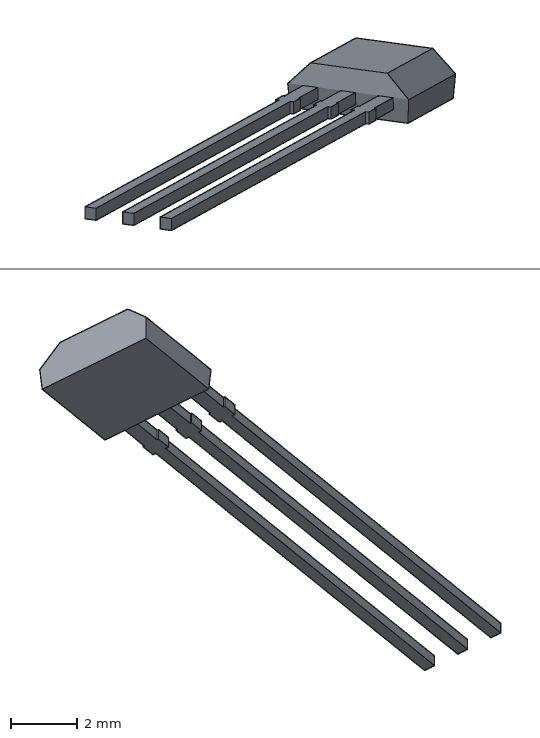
import cadquery as cq

body_width = 4.1
body_length = 3.2
upper_height = 0.73
lower_height = 0.76
draft_inset = 0.05
top_face_width = 2.6

overall_length = 18.2
lead_count = 3
lead_pitch = 1.27
lead_thickness = 0.38
lead_width = 0.38
neck_width = 0.5
neck_length = 1.27
shoulder_width = 0.6
shoulder_length = 0.5

lead_length = overall_length - body_length
shoulder_start = -neck_length
shoulder_end = shoulder_start - shoulder_length


def make_half(face_width, face_z):
    """Loft from the parting outline to the smaller outer face at face_z."""
    face_length = body_length - 2 * draft_inset
    return (
        cq.Workplane("XY")
        .center(0, body_length / 2)
        .rect(body_width, body_length)
        .workplane(offset=face_z)
        .rect(face_width, face_length)
        .loft(ruled=True)
    )


def make_package():
    """Package with a steep-sided lower half and a bevelled upper half."""
    upper_half = make_half(top_face_width, upper_height)
    lower_half = make_half(body_width - 2 * draft_inset, -lower_height)
    return upper_half.union(lower_half)


def make_strip(x_center, width, y_back, y_front):
    """One straight stretch of a lead."""
    return (
        cq.Workplane("XY")
        .center(x_center, (y_back + y_front) / 2)
        .rect(width, y_back - y_front)
        .extrude(-lead_thickness)
    )


def make_lead(x_center, package):
    """Neck, wider shoulder and long narrow leg, ending against the drafted package front."""
    neck = make_strip(x_center, neck_width, draft_inset, shoulder_start)
    shoulder = make_strip(x_center, shoulder_width, shoulder_start, shoulder_end)
    leg = make_strip(x_center, lead_width, shoulder_end, -lead_length)
    return neck.union(shoulder).union(leg).cut(package)


package = make_package()

leads = []
for index in range(lead_count):
    x_center = (index - (lead_count - 1) / 2) * lead_pitch
    leads.append(make_lead(x_center, package))

result = cq.Compound.makeCompound([package.val(), *[lead.val() for lead in leads]])